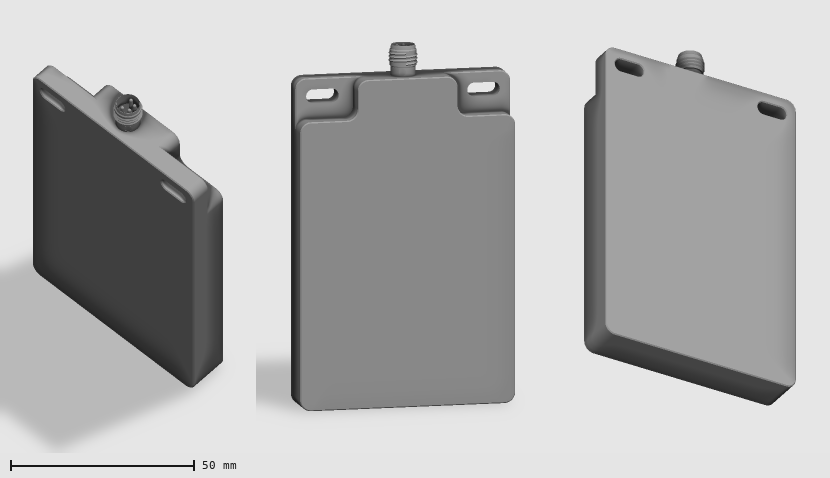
import cadquery as cq
import math

TOTAL_HEIGHT = 99.5

WIDTH = 60.0
DEPTH = 12.0
HEIGHT = 91.0
CORNER_RADIUS = 3.0
EDGE_CHAMFER = 0.3
PLATE_DEPTH = 6.0
TOWER_HALF_WIDTH = 13.9
SHOULDER_DROP = 11.0

SLOT_LENGTH = 9.1
SLOT_HEIGHT = 3.8
SLOT_OFFSET = 22.5
SLOT_DROP = 5.0

SHELL_DIAMETER = 6.9
RIM_DIAMETER = 6.5
SOCKET_DIAMETER = 6.4
SOCKET_DEPTH = 4.4
INSERT_DIAMETER = 5.6
SHELL_ROOT = 1.0
NECK_LENGTH = 2.4
UNDERCUT_DIAMETER = 6.4
UNDERCUT_LENGTH = 0.4
COLLAR_LENGTH = 1.1

THREAD_DIAMETER = 8.0
THREAD_ROOT_DIAMETER = 7.4
THREAD_LEAD_IN = 0.3
THREAD_PITCH = 1.0
THREAD_TURNS = 3
THREAD_START = 1.0
THREAD_START_ANGLE = 90.0
RIDGE_BASE = 0.9
RIDGE_OVERLAP = 0.1

FLAT_DIAMETER = 2.0
FLAT_COUNT = 3
FLAT_FIRST_ANGLE = 194.0
FLAT_RISE = 1.3
FLAT_RADIUS = 3.3

PIN_DIAMETER = 1.0
PIN_RECESS = 0.2
PIN_CIRCLE_RADIUS = 1.8
PIN_ANGLES = (-106.0, -35.0, 35.0, 106.0)

SHELL_BOTTOM = HEIGHT - SHELL_ROOT
NECK_TOP = HEIGHT + NECK_LENGTH
CORE_BOTTOM = NECK_TOP + UNDERCUT_LENGTH
CORE_TOP = TOTAL_HEIGHT - COLLAR_LENGTH
SOCKET_FLOOR = TOTAL_HEIGHT - SOCKET_DEPTH


def chamfered_slab(outline_points, depth):
    """Slab behind the front face with rounded outline corners and chamfered rims."""
    front = cq.Workplane("XZ", origin=(0, -DEPTH / 2, 0))
    slab = front.polyline(outline_points).close().extrude(-depth)
    slab = slab.edges("|Y").fillet(CORNER_RADIUS)
    return slab.faces("<Y or >Y").chamfer(EDGE_CHAMFER)


def mounting_plate():
    half = WIDTH / 2
    outline = [(-half, 0), (half, 0), (half, HEIGHT), (-half, HEIGHT)]
    return chamfered_slab(outline, PLATE_DEPTH)


def stepped_block():
    """Full-depth block whose top corners are cut down to two shoulders."""
    half = WIDTH / 2
    shoulder = HEIGHT - SHOULDER_DROP
    outline = [
        (-half, 0),
        (half, 0),
        (half, shoulder),
        (TOWER_HALF_WIDTH, shoulder),
        (TOWER_HALF_WIDTH, HEIGHT),
        (-TOWER_HALF_WIDTH, HEIGHT),
        (-TOWER_HALF_WIDTH, shoulder),
        (-half, shoulder),
    ]
    return chamfered_slab(outline, DEPTH)


def mounting_slot(x):
    """Cutter for one slot through the plate, flared by a chamfer at the front face."""
    front = cq.Workplane("XZ", origin=(x, -DEPTH / 2, HEIGHT - SLOT_DROP))
    slot = front.slot2D(SLOT_LENGTH, SLOT_HEIGHT).extrude(-PLATE_DEPTH)
    mouth_growth = 2 * EDGE_CHAMFER
    mouth = front.slot2D(SLOT_LENGTH + mouth_growth, SLOT_HEIGHT + mouth_growth)
    return slot.union(mouth.extrude(-EDGE_CHAMFER, taper=45))


def connector_seat():
    seat = cq.Workplane("XY", origin=(0, 0, SHELL_BOTTOM))
    return seat.circle(SHELL_DIAMETER / 2).extrude(SHELL_ROOT)


def make_housing():
    body = mounting_plate().union(stepped_block())
    for x in (-SLOT_OFFSET, SLOT_OFFSET):
        body = body.cut(mounting_slot(x))
    return body.cut(connector_seat())


def collar_middle():
    """Midpoint of the collar arc, which leaves its lower end parallel to the axis."""
    inset = (SHELL_DIAMETER - RIM_DIAMETER) / 2
    arc_radius = (COLLAR_LENGTH**2 + inset**2) / (2 * inset)
    half_angle = math.asin(COLLAR_LENGTH / arc_radius) / 2
    radius = SHELL_DIAMETER / 2 - arc_radius * (1 - math.cos(half_angle))
    return radius, CORE_TOP + arc_radius * math.sin(half_angle)


def shell_tube():
    """Turned tube: neck, undercut, thread core and collar around a stepped bore."""
    outer = SHELL_DIAMETER / 2
    undercut = UNDERCUT_DIAMETER / 2
    core = THREAD_ROOT_DIAMETER / 2
    bore = INSERT_DIAMETER / 2
    socket = SOCKET_DIAMETER / 2
    profile = cq.Workplane("XZ").moveTo(bore, SHELL_BOTTOM)
    profile = profile.lineTo(outer, SHELL_BOTTOM).lineTo(outer, NECK_TOP)
    profile = profile.lineTo(undercut, NECK_TOP).lineTo(undercut, CORE_BOTTOM)
    profile = profile.lineTo(core, CORE_BOTTOM).lineTo(core, CORE_TOP - THREAD_LEAD_IN)
    profile = profile.lineTo(outer, CORE_TOP)
    collar_end = (RIM_DIAMETER / 2, TOTAL_HEIGHT)
    profile = profile.threePointArc(collar_middle(), collar_end)
    profile = profile.lineTo(socket, TOTAL_HEIGHT).lineTo(socket, SOCKET_FLOOR)
    profile = profile.lineTo(bore, SOCKET_FLOOR).close()
    return profile.revolve(axisStart=(0, 0, 0), axisEnd=(0, 1, 0))


def thread_ridge():
    """Right-hand helical ridge with a sharp V cross-section."""
    start = NECK_TOP + THREAD_START
    inner = THREAD_ROOT_DIAMETER / 2 - RIDGE_OVERLAP
    helix = cq.Wire.makeHelix(
        THREAD_PITCH, THREAD_PITCH * THREAD_TURNS, inner, center=cq.Vector(0, 0, start)
    )
    profile = cq.Workplane("XZ").polyline([
        (inner, start - RIDGE_BASE / 2),
        (THREAD_DIAMETER / 2, start),
        (inner, start + RIDGE_BASE / 2),
    ]).close()
    ridge = profile.sweep(cq.Workplane(helix), isFrenet=True)
    return ridge.rotate((0, 0, 0), (0, 0, 1), THREAD_START_ANGLE)


def neck_flat(angle):
    """Cutter for one round, flat-bottomed recess facing away from the axis."""
    direction = cq.Vector(math.cos(math.radians(angle)), math.sin(math.radians(angle)), 0)
    centre = direction * FLAT_RADIUS + cq.Vector(0, 0, HEIGHT + FLAT_RISE)
    return cq.Solid.makeCylinder(FLAT_DIAMETER / 2, SHELL_DIAMETER / 2, centre, direction)


def make_shell():
    shell = shell_tube().union(thread_ridge())
    for index in range(FLAT_COUNT):
        angle = FLAT_FIRST_ANGLE + index * 360 / FLAT_COUNT
        shell = shell.cut(cq.Workplane(neck_flat(angle)))
    return shell


def make_pin_insert():
    """Core that fills the lower shell, carrying the four contact pins."""
    core = cq.Workplane("XY", origin=(0, 0, SHELL_BOTTOM))
    core = core.circle(INSERT_DIAMETER / 2).extrude(SOCKET_FLOOR - SHELL_BOTTOM)
    for angle in PIN_ANGLES:
        x = PIN_CIRCLE_RADIUS * math.cos(math.radians(angle))
        y = PIN_CIRCLE_RADIUS * math.sin(math.radians(angle))
        pin = cq.Workplane("XY", origin=(x, y, SOCKET_FLOOR))
        pin = pin.circle(PIN_DIAMETER / 2).extrude(SOCKET_DEPTH - PIN_RECESS - PIN_DIAMETER / 2)
        tip = cq.Workplane("XY", origin=pin.faces(">Z").val().Center().toTuple())
        core = core.union(pin).union(tip.sphere(PIN_DIAMETER / 2))
    return core


housing = make_housing()
shell = make_shell()
pin_insert = make_pin_insert()

result = cq.Compound.makeCompound([housing.val(), shell.val(), pin_insert.val()])